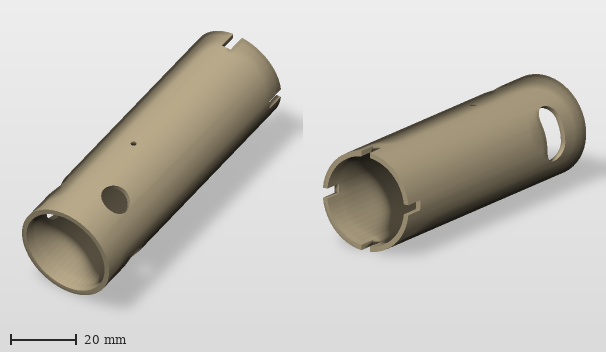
import cadquery as cq

OUTER_DIAMETER = 31.75
WALL = 1.651
LENGTH = 95.26
OUTER_RADIUS = OUTER_DIAMETER / 2
INNER_RADIUS = OUTER_RADIUS - WALL

NOTCH_WIDTH = 3.175
NOTCH_DEPTH = 6.35

PIN_HOLE_DIAMETER = 1.8
PIN_HOLE_Y = 37.7

PORT_DIAMETER = 9.6
PORT_Y = 16.0
ROUND_PORT_ANGLES = (60, -30)
SLOT_START_ANGLE = 150
SLOT_END_ANGLE = 180

CUT_REACH = OUTER_DIAMETER


def make_tube():
    section = cq.Workplane("XZ").circle(OUTER_RADIUS).circle(INNER_RADIUS)
    return section.extrude(-LENGTH)


def notch_cutter():
    """Two crossed bars, level with the axis, that notch the +Y end four times."""
    middle = (0, LENGTH - NOTCH_DEPTH / 2, 0)
    across_x = cq.Workplane("XY").box(CUT_REACH * 2, NOTCH_DEPTH, NOTCH_WIDTH)
    across_z = cq.Workplane("XY").box(NOTCH_WIDTH, NOTCH_DEPTH, CUT_REACH * 2)
    return across_x.union(across_z).translate(middle)


def pin_hole_cutter():
    drill = cq.Workplane("XY").circle(PIN_HOLE_DIAMETER / 2).extrude(CUT_REACH, both=True)
    return drill.translate((0, PIN_HOLE_Y, 0))


def round_port_cutter(angle):
    """Radial drill from the axis out through one side of the wall."""
    drill = cq.Workplane("YZ").center(PORT_Y, 0).circle(PORT_DIAMETER / 2).extrude(CUT_REACH)
    return drill.rotate((0, 0, 0), (0, 1, 0), -angle)


def slot_port_cutter():
    """Port swept around the tube axis: a wedge with a round port at each end."""
    sweep = SLOT_END_ANGLE - SLOT_START_ANGLE
    wedge = (
        cq.Workplane("XY")
        .center(CUT_REACH / 2, PORT_Y)
        .rect(CUT_REACH, PORT_DIAMETER)
        .revolve(sweep, (-CUT_REACH / 2, 0), (-CUT_REACH / 2, -1))
        .rotate((0, 0, 0), (0, 1, 0), -SLOT_START_ANGLE)
    )
    return wedge.union(round_port_cutter(SLOT_START_ANGLE)).union(round_port_cutter(SLOT_END_ANGLE))


result = make_tube().cut(notch_cutter()).cut(pin_hole_cutter()).cut(slot_port_cutter())
for port_angle in ROUND_PORT_ANGLES:
    result = result.cut(round_port_cutter(port_angle))